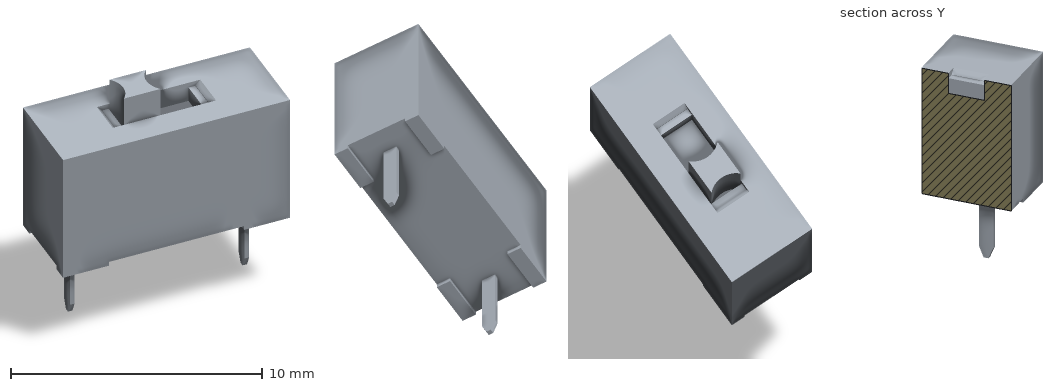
import cadquery as cq
import math

body_width = 3.9
body_length = 9.9
total_height = 10.25
slider_rise = 1.24
pin_drop = 3.21
body_height = total_height - slider_rise - pin_drop

foot_width = 0.62
foot_length = 2.0
foot_height = 0.18

window_width = 1.54
window_length = 4.51
ramp_length = 0.22
shelf_depth = 0.24
shelf_length = 0.3
pocket_depth = 0.89
pocket_length = window_length - 2 * (ramp_length + shelf_length)

slider_width = 1.4
slider_length = 1.6
finger_radius = 1.0

pin_spacing = 7.62
pin_width = 0.6
pin_thickness = 0.19
pin_tip_width = 0.2
pin_tip_height = 0.47

body_top = body_height
slider_top = body_top + slider_rise


def make_body():
    """Plain block with two crossing channels that leave four corner feet."""
    block = cq.Workplane("XY").box(body_width, body_length, body_height, centered=(True, True, False))
    channel_along_y = cq.Workplane("XY").box(
        body_width - 2 * foot_width, body_length, foot_height, centered=(True, True, False)
    )
    channel_along_x = cq.Workplane("XY").box(
        body_width, body_length - 2 * foot_length, foot_height, centered=(True, True, False)
    )
    return block.cut(channel_along_y).cut(channel_along_x)


def make_window():
    """Stepped window profile in the YZ plane, extruded across X."""
    rim = window_length / 2
    shelf_edge = rim - ramp_length
    pocket_edge = pocket_length / 2
    shelf_z = body_top - shelf_depth
    ramp_end_z = body_top - ramp_length
    floor_z = body_top - pocket_depth
    right_side = [
        (pocket_edge, floor_z),
        (pocket_edge, shelf_z),
        (shelf_edge, shelf_z),
        (shelf_edge, ramp_end_z),
        (rim, body_top),
    ]
    left_side = [(-y, z) for y, z in reversed(right_side)]
    profile = cq.Workplane("YZ").polyline(right_side + left_side).close()
    return profile.extrude(window_width / 2, both=True)


def make_slider():
    """Upright slider with a concave finger face at each end."""
    half_width = slider_width / 2
    hollow = finger_radius - math.sqrt(finger_radius**2 - half_width**2)
    front = -pocket_length / 2
    back = front + slider_length
    floor_z = body_top - pocket_depth
    return (
        cq.Workplane("XY", origin=(0, 0, floor_z))
        .moveTo(-half_width, front)
        .threePointArc((0, front + hollow), (half_width, front))
        .lineTo(half_width, back)
        .threePointArc((0, back - hollow), (-half_width, back))
        .close()
        .extrude(slider_top - floor_z)
    )


def make_pin(y_center):
    """Flat pin with a tapered tip, hanging from the relieved underside."""
    half_width = pin_width / 2
    half_tip = pin_tip_width / 2
    taper_start = pin_tip_height - pin_drop
    return (
        cq.Workplane("XZ", origin=(0, y_center, 0))
        .polyline([
            (-half_width, foot_height),
            (-half_width, taper_start),
            (-half_tip, -pin_drop),
            (half_tip, -pin_drop),
            (half_width, taper_start),
            (half_width, foot_height),
        ])
        .close()
        .extrude(pin_thickness / 2, both=True)
    )


result = make_body().cut(make_window()).union(make_slider())
for side in (-1, 1):
    result = result.union(make_pin(side * pin_spacing / 2))